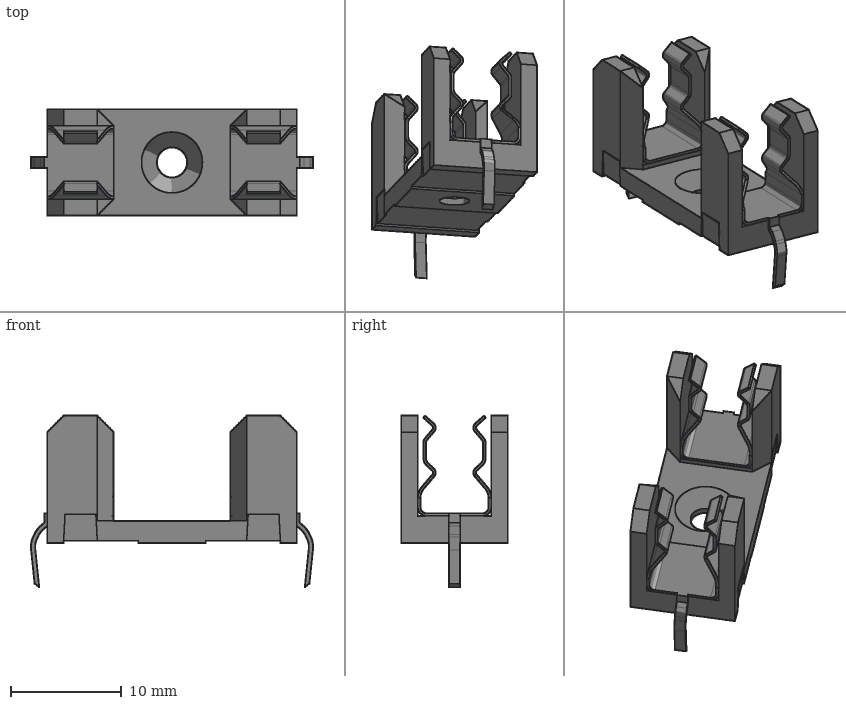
import cadquery as cq
import math


LENGTH = 22.5
WIDTH = 9.6
BASE_TOP = 2.0
POST_TOP = 11.5
POST_LENGTH = 6.0
POST_THICKNESS = 1.5
POST_CHAMFER = 1.5
CHANNEL_FLOOR = 2.45
CHANNEL_WIDTH = WIDTH - 2 * POST_THICKNESS
END_X = LENGTH / 2
POST_CENTER_X = END_X - POST_LENGTH / 2

FOOT_HEIGHT = 0.2
CENTER_FOOT_LENGTH = 6.1
RECESS_TOP = 2.6
RECESS_TOP_LENGTH = 2.78
RECESS_TOP_DEPTH = 0.05
RECESS_DRAFT = 3.0
DRAFT_SPREAD = RECESS_TOP * math.tan(math.radians(RECESS_DRAFT))
END_FOOT_LENGTH = POST_LENGTH / 2 - RECESS_TOP_LENGTH / 2 - DRAFT_SPREAD

SCREW_HOLE_DIAMETER = 2.7
COUNTERSINK_DIAMETER = 5.5

SHEET = 0.25
CORNER_RADIUS = 0.75
ARM_BEND_START = 4.1
ARM_BEND_RADIUS = 1.5
LOWER_LEAN = 40.5
LOWER_FLARE = 46.0
UPPER_LEAN = 40
UPPER_FLARE = 48.0
TIP_BACK_RADIUS = 0.25
TIP_Y = 1.69
WAIST_Y = 2.8
WAIST_LOWER_RADIUS = 0.75
WAIST_UPPER_RADIUS = 0.5
WAIST_BEND_START = 9.1
ARM_END_Y = 2.82
ARM_TIP_LENGTH = 3.0
TAPER_TOP = 6.15

LEG_WIDTH = 1.0
LEG_THICKNESS = 0.4
TAB_BOTTOM = 1.85
LEG_SLANT = 49.0
LEG_FLAT_ANGLE = 25.0
LEG_TILT = 6.0
LEG_RADIUS = 2.18
SLANT_END = 1.54
LEG_FLAT_END = 0.56
LEG_END = -4.0


def bent_strip(plane, start, heading, thickness, path):
    """Closed outline of a bent strip, traced along its right-hand face.

    The heading is in degrees from the first axis of the plane. Each path step is ("to_u", u) or
    ("to_v", v) for a straight run to that coordinate, or ("bend", radius, angle), where a positive
    angle turns left and the radius is that of the right-hand face. A last ("bevel", length) step
    lengthens the left-hand face alone.
    """
    def direction(angle):
        return math.cos(math.radians(angle)), math.sin(math.radians(angle))

    def shifted(point, angle, distance):
        du, dv = direction(angle)
        return point[0] + distance * du, point[1] + distance * dv

    point = start
    right_face = [(None, start)]
    left_face = [(None, shifted(start, heading + 90, thickness))]
    for kind, *values in path:
        if kind == "bend":
            radius, turn = values
            side = math.copysign(1, turn)
            to_center = heading + side * 90
            center = shifted(point, to_center, radius)
            outward = to_center + 180
            left_radius = radius - side * thickness
            for face, face_radius in ((right_face, radius), (left_face, left_radius)):
                if face_radius > 0:
                    middle = shifted(center, outward + turn / 2, face_radius)
                    face.append((middle, shifted(center, outward + turn, face_radius)))
            heading += turn
            point = shifted(center, outward + turn, radius)
        elif kind == "bevel":
            left_face.append((None, shifted(left_face[-1][1], heading, values[0])))
        else:
            axis = ("to_u", "to_v").index(kind)
            run = (values[0] - point[axis]) / direction(heading)[axis]
            point = shifted(point, heading, run)
            right_face.append((None, point))
            left_face.append((None, shifted(point, heading + 90, thickness)))

    outline = cq.Workplane(plane).moveTo(*start)
    for middle, end in right_face[1:]:
        outline = outline.threePointArc(middle, end) if middle else outline.lineTo(*end)
    outline = outline.lineTo(*left_face[-1][1])
    for index in range(len(left_face) - 1, 0, -1):
        middle = left_face[index][0]
        end = left_face[index - 1][1]
        outline = outline.threePointArc(middle, end) if middle else outline.lineTo(*end)
    return outline.close()


def both_sides(shape, plane):
    """The shape together with its mirror image across an origin plane."""
    return shape.union(shape.mirror(plane))


def make_post():
    """Post at the -X, -Y corner: both top ends and the inward outer corner are chamfered."""
    post = (
        cq.Workplane("XY", origin=(-POST_CENTER_X, -(WIDTH - POST_THICKNESS) / 2, 0))
        .box(POST_LENGTH, POST_THICKNESS, POST_TOP, centered=(True, True, False))
        .faces(">Z").edges("|Y").chamfer(POST_CHAMFER)
    )
    inner_x = -END_X + POST_LENGTH
    corner = (
        cq.Workplane("XY", origin=(0, 0, BASE_TOP))
        .moveTo(inner_x - POST_CHAMFER, -WIDTH / 2)
        .lineTo(inner_x, -WIDTH / 2)
        .lineTo(inner_x, -WIDTH / 2 + POST_CHAMFER)
        .close()
        .extrude(POST_TOP)
    )
    return post.cut(corner)


def make_side_recess():
    """Drafted recess in the -Y side below the -X post, open at the underside."""
    top_y = -WIDTH / 2 + RECESS_TOP_DEPTH
    bottom_half_length = RECESS_TOP_LENGTH / 2 + DRAFT_SPREAD
    outline = (
        cq.Workplane("XZ", origin=(-POST_CENTER_X, -WIDTH / 2, 0))
        .moveTo(-RECESS_TOP_LENGTH / 2, RECESS_TOP)
        .lineTo(RECESS_TOP_LENGTH / 2, RECESS_TOP)
        .lineTo(bottom_half_length, 0)
        .lineTo(-bottom_half_length, 0)
        .close()
        .extrude(POST_THICKNESS, both=True)
    )
    sloped_floor = (
        cq.Workplane("YZ", origin=(-END_X, 0, 0))
        .moveTo(-WIDTH, RECESS_TOP)
        .lineTo(top_y, RECESS_TOP)
        .lineTo(top_y + DRAFT_SPREAD, 0)
        .lineTo(-WIDTH, 0)
        .close()
        .extrude(POST_LENGTH)
    )
    return outline.intersect(sloped_floor)


def make_underside_relief():
    """Shallow gap between the end foot and the centre foot on the -X side."""
    start_x = -END_X + END_FOOT_LENGTH
    relief_length = -CENTER_FOOT_LENGTH / 2 - start_x
    return cq.Workplane("XY", origin=(start_x, 0, 0)).box(
        relief_length, WIDTH, FOOT_HEIGHT, centered=(False, True, False)
    )


def make_housing():
    base = cq.Workplane("XY").box(LENGTH, WIDTH, BASE_TOP, centered=(True, True, False))
    pedestal = cq.Workplane("XY", origin=(-POST_CENTER_X, 0, 0)).box(
        POST_LENGTH, CHANNEL_WIDTH, CHANNEL_FLOOR, centered=(True, True, False)
    )
    posts = both_sides(make_post(), "XZ")
    housing = base.union(both_sides(pedestal.union(posts), "YZ"))
    recesses = both_sides(make_side_recess(), "XZ")
    housing = housing.cut(both_sides(recesses.union(make_underside_relief()), "YZ"))
    countersink_depth = (COUNTERSINK_DIAMETER - SCREW_HOLE_DIAMETER) / 2
    screw_hole = (
        cq.Workplane("XZ")
        .moveTo(0, 0)
        .lineTo(SCREW_HOLE_DIAMETER / 2, 0)
        .lineTo(SCREW_HOLE_DIAMETER / 2, BASE_TOP - countersink_depth)
        .lineTo(COUNTERSINK_DIAMETER / 2, BASE_TOP)
        .lineTo(0, BASE_TOP)
        .close()
        .revolve()
    )
    return housing.cut(screw_hole)


def make_arms():
    """Clip floor with its two spring arms, tapered towards the tips."""
    tip_center_y = TIP_Y + TIP_BACK_RADIUS + SHEET

    def tip_start(lean):
        return tip_center_y - TIP_BACK_RADIUS * math.cos(math.radians(lean))

    def bend_entry(radius, angle):
        return WAIST_Y - radius * (1 - math.cos(math.radians(angle)))

    path = [
        ("to_u", CHANNEL_WIDTH / 2 - CORNER_RADIUS),
        ("bend", CORNER_RADIUS, 90),
        ("to_v", ARM_BEND_START),
        ("bend", ARM_BEND_RADIUS, LOWER_LEAN),
        ("to_u", tip_start(LOWER_LEAN)),
        ("bend", TIP_BACK_RADIUS, -LOWER_LEAN - LOWER_FLARE),
        ("to_u", bend_entry(WAIST_LOWER_RADIUS, LOWER_FLARE)),
        ("bend", WAIST_LOWER_RADIUS, LOWER_FLARE),
        ("to_v", WAIST_BEND_START),
        ("bend", WAIST_UPPER_RADIUS, UPPER_LEAN),
        ("to_u", tip_start(UPPER_LEAN)),
        ("bend", TIP_BACK_RADIUS, -UPPER_LEAN - UPPER_FLARE),
        ("to_u", ARM_END_Y),
    ]
    arm = bent_strip("YZ", (0, CHANNEL_FLOOR), 0, SHEET, path)
    arm = arm.extrude(POST_LENGTH / 2, both=True)
    width_outline = (
        cq.Workplane("XZ")
        .moveTo(-POST_LENGTH / 2, 0)
        .lineTo(POST_LENGTH / 2, 0)
        .lineTo(POST_LENGTH / 2, ARM_BEND_START)
        .lineTo(ARM_TIP_LENGTH / 2, TAPER_TOP)
        .lineTo(ARM_TIP_LENGTH / 2, POST_TOP)
        .lineTo(-ARM_TIP_LENGTH / 2, POST_TOP)
        .lineTo(-ARM_TIP_LENGTH / 2, TAPER_TOP)
        .lineTo(-POST_LENGTH / 2, ARM_BEND_START)
        .close()
        .extrude(WIDTH, both=True)
    )
    return both_sides(arm.intersect(width_outline), "XZ").translate((-POST_CENTER_X, 0, 0))


def make_leg():
    """Solder leg: a tab lying on the end face of the housing, then bowed outwards and down."""
    tab_outer_x = -END_X - SHEET
    tab_top = CHANNEL_FLOOR + SHEET
    tilt = math.radians(LEG_TILT)
    outer_end = LEG_END + LEG_THICKNESS * (math.cos(tilt) - math.sin(tilt))
    path = [
        ("to_v", TAB_BOTTOM),
        ("bend", 0, -LEG_SLANT),
        ("to_v", SLANT_END),
        ("bend", LEG_RADIUS, LEG_SLANT - LEG_FLAT_ANGLE),
        ("to_v", LEG_FLAT_END),
        ("bend", LEG_RADIUS, LEG_FLAT_ANGLE + LEG_TILT),
        ("to_v", outer_end),
        ("bevel", LEG_THICKNESS),
    ]
    leg = bent_strip("XZ", (tab_outer_x, tab_top), -90, LEG_THICKNESS, path)
    leg = leg.extrude(LEG_WIDTH / 2, both=True)
    housing_space = cq.Workplane("XY").box(LENGTH, WIDTH, 2 * POST_TOP)
    return leg.cut(housing_space)


def make_clip():
    """Clip on the -X side; its floor runs out over the end of the housing to meet the leg."""
    tongue = cq.Workplane("XY", origin=(-END_X - SHEET, 0, CHANNEL_FLOOR)).box(
        POST_LENGTH / 2, LEG_WIDTH, SHEET, centered=(False, True, False)
    )
    return make_arms().union(tongue).union(make_leg())


housing = make_housing()
clips = [make_clip().rotate((0, 0, 0), (0, 0, 1), angle) for angle in (0, 180)]
result = cq.Compound.makeCompound([housing.val(), *[clip.val() for clip in clips]])